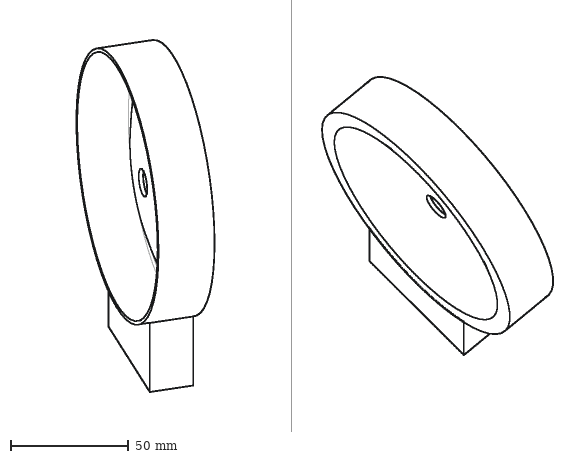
import cadquery as cq
import math

OUTER_RADIUS = 59.6
WALL = 1.6
DEPTH = 25.0
FLOOR_THICKNESS = 1.4
WALL_FILLET = 1.0
DOME_FILLET = 3.0
DOME_RADIUS = 53.45
DOME_RISE = 12.4
DOME_THICKNESS = 2.0
HOLE_RADIUS = 6.0

FOOT_WIDTH = 60.0
FOOT_DEPTH = 19.4
FOOT_INSET = 0.4
FOOT_BOTTOM = 85.2

INNER_RADIUS = OUTER_RADIUS - WALL
FRONT = -DEPTH / 2
BACK = DEPTH / 2
FLOOR = BACK - FLOOR_THICKNESS
DOME_SPHERE = (DOME_RADIUS**2 + DOME_RISE**2) / (2 * DOME_RISE)
SPHERE_Y = FLOOR - DOME_RISE + DOME_SPHERE


def sphere_y(sphere_radius, radius):
    """Y of the -Y half of a sphere about the dome center, at a given distance from the axis."""
    return SPHERE_Y - math.sqrt(sphere_radius**2 - radius**2)


def floor_edge(dish, rank):
    """Edge of the floor ring by radius: rank 0 is at the dome, rank -1 at the wall."""
    floor_ring = dish.faces("%PLANE").faces(">Y[-2]")
    return floor_ring.edges(cq.selectors.RadiusNthSelector(rank))


def make_dish():
    """Revolve the wall, floor and dome shell about Y, then round the feet of wall and dome."""
    inside_sphere = DOME_SPHERE - DOME_THICKNESS
    inside_rim = math.sqrt(inside_sphere**2 - (SPHERE_Y - BACK) ** 2)
    mid_radius = (HOLE_RADIUS + inside_rim) / 2
    profile = (
        cq.Workplane("XY")
        .moveTo(OUTER_RADIUS, BACK)
        .lineTo(OUTER_RADIUS, FRONT)
        .lineTo(INNER_RADIUS, FRONT)
        .lineTo(INNER_RADIUS, FLOOR)
        .lineTo(DOME_RADIUS, FLOOR)
        .threePointArc(
            (mid_radius, sphere_y(DOME_SPHERE, mid_radius)),
            (HOLE_RADIUS, sphere_y(DOME_SPHERE, HOLE_RADIUS)),
        )
        .lineTo(HOLE_RADIUS, sphere_y(inside_sphere, HOLE_RADIUS))
        .threePointArc(
            (mid_radius, sphere_y(inside_sphere, mid_radius)),
            (inside_rim, BACK),
        )
        .close()
    )
    dish = profile.revolve(360, (0, 0, 0), (0, 1, 0))
    dish = floor_edge(dish, -1).fillet(WALL_FILLET)
    return floor_edge(dish, 0).fillet(DOME_FILLET)


def make_foot():
    """Block with the round of the dish wall cut out of its top."""
    block = (
        cq.Workplane("XY")
        .box(FOOT_WIDTH, FOOT_DEPTH, FOOT_BOTTOM, centered=(True, False, False))
        .translate((0, BACK - FOOT_INSET - FOOT_DEPTH, -FOOT_BOTTOM))
    )
    drum = cq.Workplane("XZ", origin=(0, BACK, 0)).circle(OUTER_RADIUS).extrude(DEPTH)
    return block.cut(drum)


dish = make_dish()
foot = make_foot()
result = cq.Compound.makeCompound([dish.val(), foot.val()])